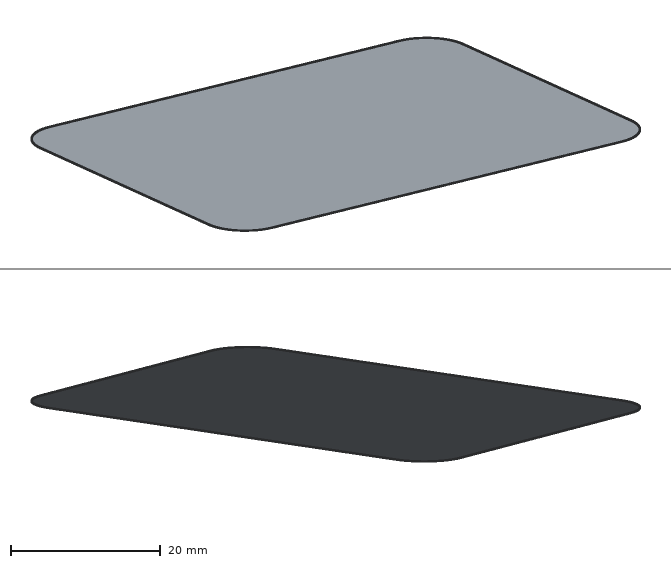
import cadquery as cq

width = 50.0
length = 70.0
thickness = 0.04
corner_radius = 6.0

result = (
    cq.Workplane("XY")
    .rect(width, length)
    .extrude(thickness)
    .edges("|Z")
    .fillet(corner_radius)
)